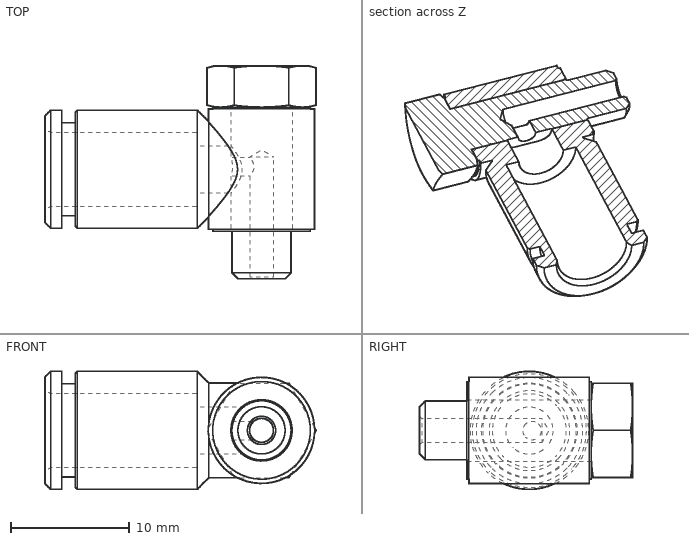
import cadquery as cq
import math


hex_across_flats = 8.0
hex_corner_radius = hex_across_flats / math.sqrt(3)
head_inner_y = 5.25
head_outer_y = 8.73
head_chamfer_radius = 3.99
head_chamfer_height = 0.15

shank_radius = 2.6
stud_radius = 2.5
stud_end_y = -9.25
stud_chamfer = 0.5
passage_radius = 1.0
passage_mouth_radius = 1.2
passage_mouth_chamfer = passage_mouth_radius - passage_radius
cross_hole_radius = 0.78
cross_hole_y = 0.23
passage_overrun = 0.05
drill_point_half_angle = math.radians(59)
passage_wall_end_y = cross_hole_y + cross_hole_radius + passage_overrun
passage_tip_y = passage_wall_end_y + passage_radius / math.tan(drill_point_half_angle)

barrel_radius = 4.5
barrel_half_length = 5.09
lip_radius = 4.13
lip_face_y = head_inner_y

overall_length = 22.92
tube_mouth_x = hex_corner_radius - overall_length
tube_radius = 5.0
collar_chamfer = 0.5
collar_end_x = tube_mouth_x + 1.45
groove_radius = 3.95
groove_end_x = tube_mouth_x + 2.57
tube_chamfer = 0.18
tube_end_x = tube_mouth_x + 12.88
stem_radius = 4.0
stem_start_x = tube_end_x + tube_radius - stem_radius

socket_radius = 3.12
socket_mouth_radius = 3.4
socket_mouth_depth = 0.5
socket_floor_x = tube_end_x
tube_passage_radius = 2.0


def revolve_about_x(points):
    """Revolve a closed (x, radius) outline about the tube axis."""
    return cq.Workplane("XY").polyline(points).close().revolve(360, (0, 0), (1, 0))


def revolve_about_y(points):
    """Revolve a closed (radius, y) outline about the bolt axis."""
    return cq.Workplane("XY").polyline(points).close().revolve(360, (0, 0), (0, 1))


def tube_outside():
    return revolve_about_x([
        (tube_mouth_x, 0),
        (tube_mouth_x, tube_radius - collar_chamfer),
        (tube_mouth_x + collar_chamfer, tube_radius),
        (collar_end_x, tube_radius),
        (collar_end_x, groove_radius),
        (groove_end_x, groove_radius),
        (groove_end_x, tube_radius - tube_chamfer),
        (groove_end_x + tube_chamfer, tube_radius),
        (tube_end_x, tube_radius),
        (stem_start_x, stem_radius),
        (0, stem_radius),
        (0, 0),
    ])


def tube_inside():
    """Stepped bore with a chamfered mouth, running into the bolt hole."""
    return revolve_about_x([
        (tube_mouth_x, 0),
        (tube_mouth_x, socket_mouth_radius),
        (tube_mouth_x + socket_mouth_depth, socket_radius),
        (socket_floor_x, socket_radius),
        (socket_floor_x, tube_passage_radius),
        (0, tube_passage_radius),
        (0, 0),
    ])


def barrel_outside():
    """Barrel with a raised sealing lip on each end face."""
    return revolve_about_y([
        (0, -lip_face_y),
        (lip_radius, -lip_face_y),
        (lip_radius, -barrel_half_length),
        (barrel_radius, -barrel_half_length),
        (barrel_radius, barrel_half_length),
        (lip_radius, barrel_half_length),
        (lip_radius, lip_face_y),
        (0, lip_face_y),
    ])


def bolt_hole():
    return revolve_about_y([
        (0, -lip_face_y),
        (shank_radius, -lip_face_y),
        (shank_radius, lip_face_y),
        (0, lip_face_y),
    ])


def make_housing():
    outside = barrel_outside().union(tube_outside())
    return outside.cut(tube_inside()).cut(bolt_hole())


def bolt_head():
    """Hexagon with corners on X, its corners coned off at both faces."""
    head_height = head_outer_y - head_inner_y
    hexagon = (
        cq.Workplane("XZ", origin=(0, head_outer_y, 0))
        .polygon(6, 2 * hex_corner_radius)
        .extrude(head_height)
    )
    corner_cone = revolve_about_y([
        (0, head_inner_y),
        (head_chamfer_radius, head_inner_y),
        (hex_corner_radius, head_inner_y + head_chamfer_height),
        (hex_corner_radius, head_outer_y - head_chamfer_height),
        (head_chamfer_radius, head_outer_y),
        (0, head_outer_y),
    ])
    return hexagon.intersect(corner_cone)


def bolt_stem():
    """Shank filling the housing hole, and the slimmer stud beyond it."""
    return revolve_about_y([
        (0, stud_end_y),
        (stud_radius - stud_chamfer, stud_end_y),
        (stud_radius, stud_end_y + stud_chamfer),
        (stud_radius, -lip_face_y),
        (shank_radius, -lip_face_y),
        (shank_radius, head_inner_y),
        (0, head_inner_y),
    ])


def bolt_passage():
    """Blind drilled passage with a chamfered mouth and a conical end."""
    return revolve_about_y([
        (0, stud_end_y),
        (passage_mouth_radius, stud_end_y),
        (passage_radius, stud_end_y + passage_mouth_chamfer),
        (passage_radius, passage_wall_end_y),
        (0, passage_tip_y),
    ])


def bolt_cross_hole():
    """Hole from the tube side of the shank to the drilled passage."""
    return (
        cq.Workplane("YZ", origin=(-shank_radius, cross_hole_y, 0))
        .circle(cross_hole_radius)
        .extrude(shank_radius)
    )


def make_bolt():
    return bolt_head().union(bolt_stem()).cut(bolt_passage()).cut(bolt_cross_hole())


housing = make_housing()
bolt = make_bolt()

result = cq.Compound.makeCompound([housing.val(), bolt.val()])